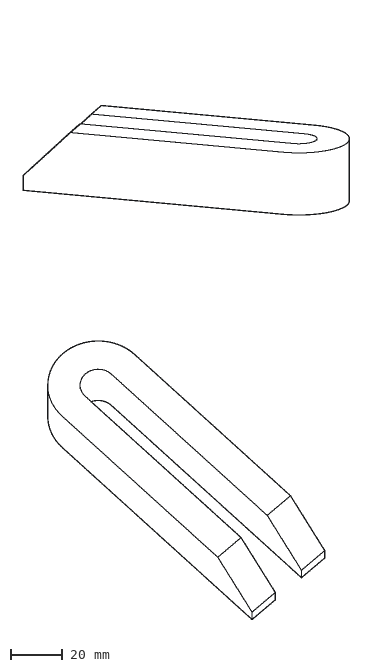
import cadquery as cq

length = 125.0
height = 25.0
leg_width = 12.5
slot_width = 14.0
nose_height = 6.0

width = slot_width + 2 * leg_width
bend_center_x = length - width / 2
bevel = height - nose_height


def round_ended_bar(bar_width):
    """Bar from X = 0 to the bend centre, closed by a half circle of the same width."""
    radius = bar_width / 2
    return (
        cq.Workplane("XY")
        .moveTo(0, -radius)
        .lineTo(bend_center_x, -radius)
        .threePointArc((bend_center_x + radius, 0), (bend_center_x, radius))
        .lineTo(0, radius)
        .close()
        .extrude(height)
    )


def nose_bevel():
    """Wedge removed from the top of both leg tips."""
    return (
        cq.Workplane("XZ")
        .moveTo(0, nose_height)
        .lineTo(bevel, height)
        .lineTo(0, height)
        .close()
        .extrude(width / 2, both=True)
    )


result = round_ended_bar(width).cut(round_ended_bar(slot_width)).cut(nose_bevel())